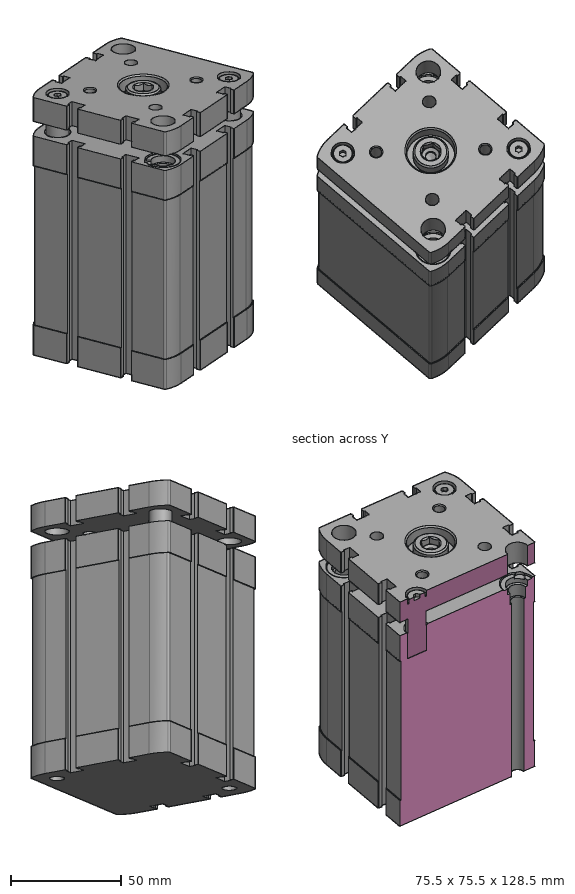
import cadquery as cq
import math

WIDTH = 75.5
HEIGHT = 128.5
PLATE_THICKNESS = 12.0
HOUSING_HEIGHT = 109.2
CAP_HEIGHT = 14.9
BARREL_INSET = 0.5
PLATE_BOTTOM = HEIGHT - PLATE_THICKNESS

CORNER_RADIUS = 18.9
CORNER_START = 28.3
CORNER_BLEND = 1.3

SLOT_OFFSET = 14.4
SLOT_NECK_WIDTH = 5.5
SLOT_NECK_DEPTH = 2.0
SLOT_WIDTH = 7.0
SLOT_DEPTH = 5.4
SLOT_LIP_CHAMFER = 0.3

CORNER_PITCH = 28.1
PLATE_HOLE_PITCH = 17.5
ROD_CORNERS = [(CORNER_PITCH, CORNER_PITCH), (-CORNER_PITCH, -CORNER_PITCH)]
SCREW_CORNERS = [(-CORNER_PITCH, CORNER_PITCH), (CORNER_PITCH, -CORNER_PITCH)]
THREAD_POINTS = [(PLATE_HOLE_PITCH, PLATE_HOLE_PITCH), (-PLATE_HOLE_PITCH, -PLATE_HOLE_PITCH)]
DOWEL_POINTS = [(-PLATE_HOLE_PITCH, PLATE_HOLE_PITCH), (PLATE_HOLE_PITCH, -PLATE_HOLE_PITCH)]

ROD_ENGAGEMENT = CAP_HEIGHT
ROD_BOTTOM = HOUSING_HEIGHT - ROD_ENGAGEMENT
GUIDE_ROD_DIAMETER = 10.5
GUIDE_MOUTH_DIAMETER = 12.0
PISTON_ROD_DIAMETER = 15.9
PISTON_ROD_SETBACK = 1.0
PISTON_ROD_TOP = HEIGHT - PISTON_ROD_SETBACK
PISTON_ROD_CHAMFER = 0.8
FLAT_SPACING = 13.0
FLAT_CLEARANCE = 0.9
FLAT_BOTTOM = HOUSING_HEIGHT + FLAT_CLEARANCE

ROD_HEX_FLATS = 8.0
ROD_HEX_MOUTH = 9.5
ROD_HEX_DEPTH = 3.9
ROD_HEX_TURN = 30.0
ROD_PILOT_DIAMETER = 4.9
ROD_PILOT_DEPTH = 1.9
DRILL_POINT_ANGLE = 118.0

RECESS_DIAMETER = 22.0
RECESS_MOUTH = 23.4
RECESS_DEPTH = 6.4
DOWEL_DIAMETER = 6.0
THREAD_DIAMETER = 5.0
ACCESS_DIAMETER = 11.0
HEAD_BORE_DIAMETER = 10.5
HEAD_BORE_DEPTH = 3.2
HEAD_DIAMETER = 9.3
HEAD_SETBACK = 0.8
HEAD_TOP = HEIGHT - HEAD_SETBACK
HEAD_CHAMFER = 0.4
HEAD_HEX_FLATS = 3.0
HEAD_HEX_DEPTH = 1.9
HEAD_HEX_TURN = 45.0

SEAT_DIAMETER = 15.5
SEAT_MOUTH = 16.5
SEAT_DEPTH = 0.6
SEAT_BORE_DIAMETER = 11.0
SEAT_BORE_DEPTH = 3.9
SEAT_THREAD_DIAMETER = 8.5
SEAT_THREAD_DEPTH = 10.3
THROUGH_DIAMETER = 6.7
NOTCH_DIAMETER = 5.0
NOTCH_OFFSET = 6.2
NOTCH_DEPTH = 1.5


def cylinder(diameter, bottom, top, points=((0, 0),)):
    """Vertical cylinders between two heights, one at each point."""
    base = cq.Workplane().workplane(offset=bottom)
    return base.pushPoints(points).circle(diameter / 2).extrude(top - bottom)


def cone(lower_diameter, upper_diameter, bottom, top, point=(0, 0)):
    """Vertical cone frustum between two heights."""
    x, y = point
    solid = cq.Solid.makeCone(lower_diameter / 2, upper_diameter / 2, top - bottom, cq.Vector(x, y, bottom))
    return cq.Workplane(solid)


def mouth_chamfer(hole_diameter, mouth_diameter, top, point=(0, 0)):
    """45 degree cone that widens a hole to its mouth."""
    return cone(hole_diameter, mouth_diameter, top - (mouth_diameter - hole_diameter) / 2, top, point)


def hex_prism(flats, bottom, top, turn):
    """Vertical hexagon on the part axis; at zero turn two flats are square to X."""
    base = cq.Workplane().workplane(offset=bottom)
    prism = base.polygon(6, flats, circumscribed=True).extrude(top - bottom)
    return prism.rotate((0, 0, 0), (0, 0, 1), turn)


def drill_tip(diameter, top):
    """Conical drill point that narrows downward from a hole."""
    depth = diameter / 2 / math.tan(math.radians(DRILL_POINT_ANGLE / 2))
    return cone(0, diameter, top - depth, top)


def rounded_block(inset, bottom, top):
    """Square block with a large arc and a small blend at each corner."""
    side = WIDTH / 2 - inset
    radius = CORNER_RADIUS - inset
    arc_x = side - radius
    rise = side - CORNER_START
    end_x = arc_x + math.sqrt(radius ** 2 - rise ** 2)
    half_angle = math.asin(rise / radius) / 2
    mid_x = arc_x + radius * math.cos(half_angle)
    mid_y = CORNER_START + radius * math.sin(half_angle)
    block = (
        cq.Workplane().workplane(offset=bottom)
        .moveTo(side, -CORNER_START)
        .lineTo(side, CORNER_START)
        .threePointArc((mid_x, mid_y), (end_x, side))
        .lineTo(-end_x, side)
        .threePointArc((-mid_x, mid_y), (-side, CORNER_START))
        .lineTo(-side, -CORNER_START)
        .threePointArc((-mid_x, -mid_y), (-end_x, -side))
        .lineTo(end_x, -side)
        .threePointArc((mid_x, -mid_y), (side, -CORNER_START))
        .close()
        .extrude(top - bottom)
    )
    corner_edges = block.edges("|Z and (>Y or <Y)")
    return corner_edges.fillet(CORNER_BLEND)


def slot_cutter():
    """The six T-slots, over the full height of the part."""
    side = WIDTH / 2
    mouth_half = SLOT_NECK_WIDTH / 2 + SLOT_LIP_CHAMFER
    slots = cq.Workplane()
    for turn in (0, 90, -90):
        for offset in (-SLOT_OFFSET, SLOT_OFFSET):
            neck = cq.Workplane().center(offset, -side).rect(SLOT_NECK_WIDTH, 2 * SLOT_DEPTH).extrude(HEIGHT)
            groove_depth = SLOT_DEPTH - SLOT_NECK_DEPTH
            groove_y = -side + SLOT_NECK_DEPTH + groove_depth / 2
            groove = cq.Workplane().center(offset, groove_y).rect(SLOT_WIDTH, groove_depth).extrude(HEIGHT)
            lip = (
                cq.Workplane()
                .moveTo(offset - mouth_half, -side)
                .lineTo(offset + mouth_half, -side)
                .lineTo(offset, -side + mouth_half)
                .close().extrude(HEIGHT)
            )
            slots = slots.add(neck.union(groove).union(lip).rotate((0, 0, 0), (0, 0, 1), turn))
    return slots.combine()


def make_housing(slots):
    """Cylinder barrel with its two end caps, rod bores and corner screw seats."""
    body = rounded_block(0, 0, CAP_HEIGHT)
    body = body.union(rounded_block(BARREL_INSET, CAP_HEIGHT, HOUSING_HEIGHT - CAP_HEIGHT))
    body = body.union(rounded_block(0, HOUSING_HEIGHT - CAP_HEIGHT, HOUSING_HEIGHT))
    body = body.cut(slots)

    body = body.cut(cylinder(PISTON_ROD_DIAMETER, ROD_BOTTOM, HOUSING_HEIGHT))
    body = body.cut(cylinder(GUIDE_ROD_DIAMETER, ROD_BOTTOM, HOUSING_HEIGHT, ROD_CORNERS))
    for point in ROD_CORNERS:
        body = body.cut(mouth_chamfer(GUIDE_ROD_DIAMETER, GUIDE_MOUTH_DIAMETER, HOUSING_HEIGHT, point))

    steps = [
        (SEAT_DIAMETER, SEAT_DEPTH),
        (SEAT_BORE_DIAMETER, SEAT_BORE_DEPTH),
        (SEAT_THREAD_DIAMETER, SEAT_THREAD_DEPTH),
        (THROUGH_DIAMETER, HOUSING_HEIGHT),
    ]
    for diameter, depth in steps:
        body = body.cut(cylinder(diameter, HOUSING_HEIGHT - depth, HOUSING_HEIGHT, SCREW_CORNERS))
    for point in SCREW_CORNERS:
        body = body.cut(mouth_chamfer(SEAT_DIAMETER, SEAT_MOUTH, HOUSING_HEIGHT, point))
    shift = NOTCH_OFFSET / math.sqrt(2)
    notches = [(x - shift, y - shift) for x, y in SCREW_CORNERS]
    return body.cut(cylinder(NOTCH_DIAMETER, HOUSING_HEIGHT - NOTCH_DEPTH, HOUSING_HEIGHT, notches))


def make_plate(slots):
    """Front plate with its central recess, rod bore and holes."""
    plate = rounded_block(0, PLATE_BOTTOM, HEIGHT).cut(slots)
    plate = plate.cut(cylinder(PISTON_ROD_DIAMETER, PLATE_BOTTOM, HEIGHT))
    plate = plate.cut(cylinder(RECESS_DIAMETER, HEIGHT - RECESS_DEPTH, HEIGHT))
    plate = plate.cut(mouth_chamfer(RECESS_DIAMETER, RECESS_MOUTH, HEIGHT))
    plate = plate.cut(cylinder(ACCESS_DIAMETER, PLATE_BOTTOM, HEIGHT, SCREW_CORNERS))
    plate = plate.cut(cylinder(DOWEL_DIAMETER, PLATE_BOTTOM, HEIGHT, DOWEL_POINTS))
    plate = plate.cut(cylinder(THREAD_DIAMETER, PLATE_BOTTOM, HEIGHT, THREAD_POINTS))
    for point in THREAD_POINTS:
        plate = plate.cut(mouth_chamfer(THREAD_DIAMETER, DOWEL_DIAMETER, HEIGHT, point))

    head_floor = HEIGHT - HEAD_BORE_DEPTH
    heads = cylinder(HEAD_DIAMETER, head_floor, HEAD_TOP, ROD_CORNERS).faces(">Z").chamfer(HEAD_CHAMFER)
    socket = hex_prism(HEAD_HEX_FLATS, HEAD_TOP - HEAD_HEX_DEPTH, HEAD_TOP, HEAD_HEX_TURN)
    plate = plate.cut(cylinder(HEAD_BORE_DIAMETER, head_floor, HEIGHT, ROD_CORNERS))
    plate = plate.union(heads)
    for x, y in ROD_CORNERS:
        plate = plate.cut(socket.translate((x, y, 0)))
    return plate


def make_piston_rod():
    """Piston rod with wrench flats and a hexagon socket in its end."""
    rod = cylinder(PISTON_ROD_DIAMETER, ROD_BOTTOM, PISTON_ROD_TOP).faces(">Z").chamfer(PISTON_ROD_CHAMFER)
    flats_height = PLATE_BOTTOM - FLAT_BOTTOM
    between_flats = cq.Workplane().box(PISTON_ROD_DIAMETER, FLAT_SPACING, flats_height)
    waste = cq.Workplane().box(PISTON_ROD_DIAMETER, PISTON_ROD_DIAMETER, flats_height).cut(between_flats)
    rod = rod.cut(waste.translate((0, 0, FLAT_BOTTOM + flats_height / 2)))

    hex_bottom = PISTON_ROD_TOP - ROD_HEX_DEPTH
    pilot_bottom = hex_bottom - ROD_PILOT_DEPTH
    rod = rod.cut(hex_prism(ROD_HEX_FLATS, hex_bottom, PISTON_ROD_TOP, ROD_HEX_TURN))
    rod = rod.cut(mouth_chamfer(ROD_HEX_FLATS, ROD_HEX_MOUTH, PISTON_ROD_TOP))
    rod = rod.cut(drill_tip(ROD_HEX_FLATS, hex_bottom))
    rod = rod.cut(cylinder(ROD_PILOT_DIAMETER, pilot_bottom, hex_bottom))
    return rod.cut(drill_tip(ROD_PILOT_DIAMETER, pilot_bottom))


def make_moving_unit(slots):
    """Front plate with the piston rod and both guide rods, as one solid."""
    guide_rods = cylinder(GUIDE_ROD_DIAMETER, ROD_BOTTOM, PLATE_BOTTOM, ROD_CORNERS)
    return make_plate(slots).union(guide_rods).union(make_piston_rod())


t_slots = slot_cutter()
housing = make_housing(t_slots)
moving_unit = make_moving_unit(t_slots)

result = cq.Compound.makeCompound([housing.val(), moving_unit.val()])